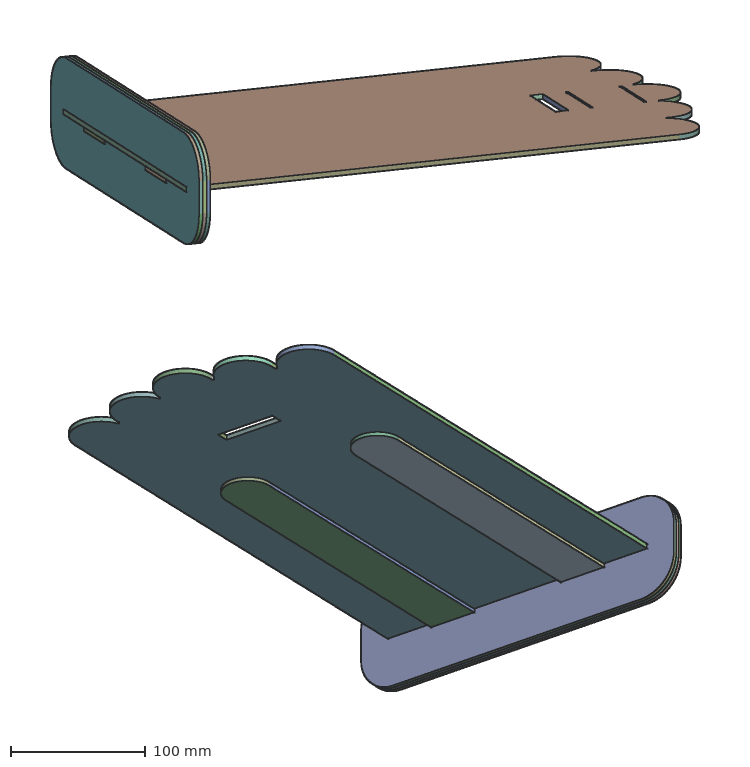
import cadquery as cq
import math

SIGN_HEIGHT = 443.5

BASE_WIDTH = 290.0
BASE_DEPTH = 85.0
BASE_CORNER_RADIUS = 30.0
PLATE_COUNT = 3
PLATE_THICKNESS = 3.0

PANEL_WIDTH = 240.3
PANEL_THICKNESS = 4.0
LOBE_COUNT = 5
LOBE_RADIUS = PANEL_WIDTH / LOBE_COUNT / 2
MIDDLE_LOBE_DROP = 10.5
OUTER_LOBE_DROP = 24.5
VALLEY_RADIUS = 1.0

SLOT_WIDTH = 50.0
SLOT_HEIGHT = 10.0
SLOT_CENTRE_Y = 340.0

GROOVE_LENGTH = 48.0
GROOVE_WIDTH = 1.8
GROOVE_DEPTH = 1.0
GROOVE_CENTRES_Y = (364.0, 407.0)

BATTEN_WIDTH = 40.0
BATTEN_THICKNESS = 3.0
BATTEN_LENGTH = 282.0
BATTEN_SPACING = 120.0
BATTEN_SIDE_CLEARANCE = 0.5

PANEL_BOTTOM_Z = -PANEL_THICKNESS / 2
BATTEN_BOTTOM_Z = PANEL_BOTTOM_Z - BATTEN_THICKNESS
BATTEN_CENTRES_X = (-BATTEN_SPACING / 2, BATTEN_SPACING / 2)


def box_between(x_centre, width, y_low, y_high, z_low, height):
    """Box centred on x_centre, between two Y positions, standing on z_low."""
    return (
        cq.Workplane("XY", origin=(x_centre, (y_low + y_high) / 2, z_low))
        .rect(width, y_high - y_low)
        .extrude(height)
    )


def polar_point(x_axis, y_axis, radius, angle):
    """Point on a circle about the given axis."""
    return (x_axis + radius * math.cos(angle), y_axis + radius * math.sin(angle))


def add_lobe_and_valley(outline, x_axis, y_axis):
    """A lobe from its outer foot over its top, then the rounded valley up to the next lobe's wall."""
    wall_x = x_axis - LOBE_RADIUS
    valley_x = wall_x + VALLEY_RADIUS
    valley_y = y_axis + 2 * math.sqrt(LOBE_RADIUS * VALLEY_RADIUS)
    lobe_end_angle = math.atan2(valley_y - y_axis, valley_x - x_axis)
    valley_start_angle = lobe_end_angle - math.pi
    valley_middle_angle = (valley_start_angle - math.pi) / 2
    return (
        outline
        .threePointArc(
            polar_point(x_axis, y_axis, LOBE_RADIUS, lobe_end_angle / 2),
            polar_point(x_axis, y_axis, LOBE_RADIUS, lobe_end_angle),
        )
        .threePointArc(
            polar_point(valley_x, valley_y, VALLEY_RADIUS, valley_middle_angle),
            (wall_x, valley_y),
        )
    )


def make_panel():
    """Sign panel: a rectangle topped by five lobes, with a slot and two grooves."""
    top_y = SIGN_HEIGHT - LOBE_RADIUS
    middle_y = top_y - MIDDLE_LOBE_DROP
    outer_y = top_y - OUTER_LOBE_DROP
    lobe_pitch = 2 * LOBE_RADIUS

    half_outline = (
        cq.Workplane("XY", origin=(0, 0, PANEL_BOTTOM_Z))
        .lineTo(PANEL_WIDTH / 2, 0)
        .lineTo(PANEL_WIDTH / 2, outer_y)
    )
    half_outline = add_lobe_and_valley(half_outline, 2 * lobe_pitch, outer_y)
    half_outline = half_outline.lineTo(lobe_pitch + LOBE_RADIUS, middle_y)
    half_outline = add_lobe_and_valley(half_outline, lobe_pitch, middle_y)
    half_outline = (
        half_outline
        .lineTo(LOBE_RADIUS, top_y)
        .threePointArc(polar_point(0, top_y, LOBE_RADIUS, math.pi / 4), (0, SIGN_HEIGHT))
    )
    panel = half_outline.mirrorY().extrude(PANEL_THICKNESS)

    slot = cq.Workplane("XY").center(0, SLOT_CENTRE_Y).box(SLOT_WIDTH, SLOT_HEIGHT, 2 * PANEL_THICKNESS)
    panel = panel.cut(slot)
    for groove_y in GROOVE_CENTRES_Y:
        groove = box_between(
            0, GROOVE_LENGTH, groove_y - GROOVE_WIDTH / 2, groove_y + GROOVE_WIDTH / 2,
            PANEL_THICKNESS / 2 - GROOVE_DEPTH, GROOVE_DEPTH,
        )
        panel = panel.cut(groove)
    return panel


def make_batten(x_centre):
    """Flat strip with a fully rounded far end, lying against the underside of the panel."""
    radius = BATTEN_WIDTH / 2
    straight = BATTEN_LENGTH - radius
    return (
        cq.Workplane("XY", origin=(x_centre, 0, BATTEN_BOTTOM_Z))
        .moveTo(-radius, 0)
        .lineTo(radius, 0)
        .lineTo(radius, straight)
        .threePointArc((0, BATTEN_LENGTH), (-radius, straight))
        .close()
        .extrude(BATTEN_THICKNESS)
    )


def make_base_plate(index):
    """One rounded plate of the base stack, with openings for the panel and both battens."""
    front_y = index * PLATE_THICKNESS
    back_y = front_y + PLATE_THICKNESS
    plate = box_between(0, BASE_WIDTH, front_y, back_y, -BASE_DEPTH / 2, BASE_DEPTH)
    plate = plate.edges("|Y").fillet(BASE_CORNER_RADIUS)
    plate = plate.cut(box_between(0, PANEL_WIDTH, front_y, back_y, PANEL_BOTTOM_Z, PANEL_THICKNESS))
    opening_width = BATTEN_WIDTH + 2 * BATTEN_SIDE_CLEARANCE
    for x_centre in BATTEN_CENTRES_X:
        plate = plate.cut(
            box_between(x_centre, opening_width, front_y, back_y, BATTEN_BOTTOM_Z, BATTEN_THICKNESS)
        )
    return plate


panel = make_panel()
battens = [make_batten(x_centre) for x_centre in BATTEN_CENTRES_X]
base_plates = [make_base_plate(index) for index in range(PLATE_COUNT)]

result = cq.Compound.makeCompound([body.val() for body in [panel, *battens, *base_plates]])